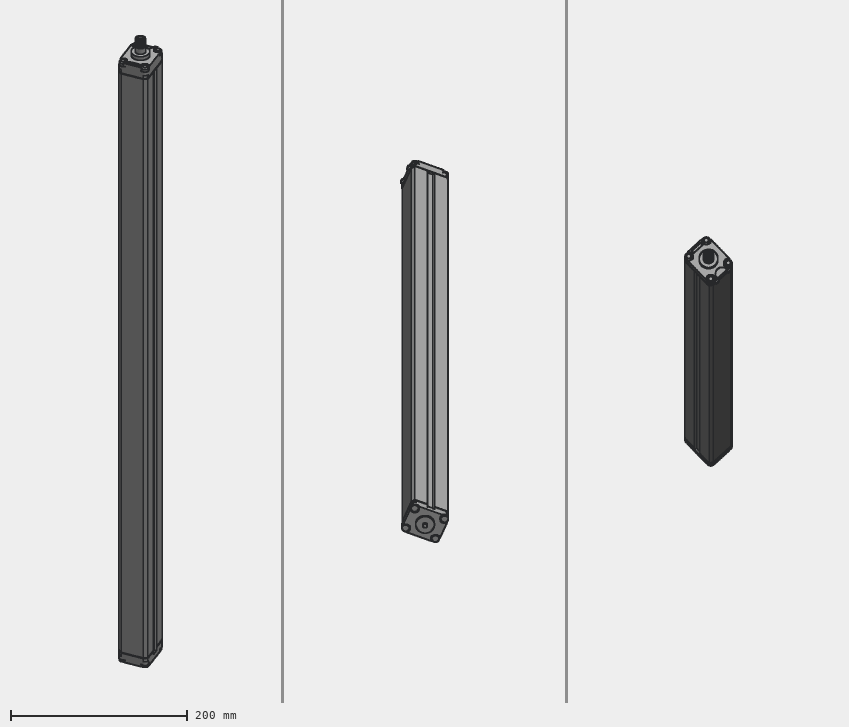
import cadquery as cq

total_height = 853.0
front_flat = 27.0
depth = 45.0
chamfer_x = 4.4
chamfer_y = 2.5
width = front_flat + 2 * chamfer_x

profile_bottom = 18.0
profile_top = 814.0
groove_mouth = 9.0
groove_floor = 6.0
groove_depth = 2.5

seam_inset = 0.2
seam_height = 1.0
cap_corner_radius = 4.0
plate_thickness = 5.0
lower_cap_thickness = 13.0
upper_cap_thickness = 15.0
lower_plate_bottom = profile_bottom - plate_thickness
lower_cap_bottom = profile_bottom - lower_cap_thickness
upper_plate_top = profile_top + plate_thickness
upper_cap_top = profile_top + upper_cap_thickness

head_diameter = 8.5
lower_head_height = 2.5
upper_head_height = 5.0
head_chamfer = 2.0
pocket_clearance = 1.0
pocket_diameter = head_diameter + 2 * pocket_clearance
head_setback = 0.2
screw_x = (width - head_diameter) / 2 - head_setback
screw_y = (depth - head_diameter) / 2 - head_setback
screw_centers = [(sx * screw_x, sy * screw_y) for sx in (-1, 1) for sy in (-1, 1)]

plug_diameter = 5.0
plug_height = 2.5
disc_diameter = 21.0

back_screw_diameter = 5.0
back_screw_spacing = 19.0
back_screw_projection = 2.5
back_screw_root = 2.5
back_screw_z = upper_plate_top + back_screw_diameter / 2
notch_radius = 8.0
notch_depth = 2.0

recess_length = 14.0
recess_width = 3.0
recess_depth = 1.0
recess_y = -19.0

collar_diameter = 21.0
collar_top = 835.0
stem_diameter = 12.0
thread_bottom = 842.5
thread_diameter = 12.0
thread_root_diameter = 11.0
thread_turns = 3
bore_diameter = 8.5
bore_depth = 7.0
pin_diameter = 2.0
pin_offset = 2.0
pin_height = 5.0


def chamfered_block(bottom, top, inset=0.0):
    """Upright block with flat corners, inset from the outer outline."""
    half_x = width / 2 - inset
    half_y = depth / 2 - inset
    flat_x = half_x - chamfer_x
    flat_y = half_y - chamfer_y
    return (
        cq.Workplane("XY")
        .workplane(offset=bottom)
        .polyline([
            (flat_x, -half_y),
            (half_x, -flat_y),
            (half_x, flat_y),
            (flat_x, half_y),
            (-flat_x, half_y),
            (-half_x, flat_y),
            (-half_x, -flat_y),
            (-flat_x, -half_y),
        ])
        .close()
        .extrude(top - bottom)
    )


def rounded_block(bottom, top):
    """Upright block with rounded corners for the outer part of an end cap."""
    return (
        cq.Workplane("XY")
        .workplane(offset=bottom)
        .rect(width, depth)
        .extrude(top - bottom)
        .edges("|Z")
        .fillet(cap_corner_radius)
    )


def cylinder(diameter, bottom, top, centers=((0, 0),)):
    """Upright cylinders standing on one level."""
    return (
        cq.Workplane("XY")
        .workplane(offset=bottom)
        .pushPoints(list(centers))
        .circle(diameter / 2)
        .extrude(top - bottom)
    )


def add_corner_screws(cap, heads, bottom, top):
    """Sink the four corner screw heads into their pockets."""
    cap = cap.cut(cylinder(pocket_diameter, bottom, top, screw_centers))
    return cap.union(heads)


def side_groove(side):
    """Tapered groove along one side, running on through the lower plate."""
    outer = side * width / 2
    inner = side * (width / 2 - groove_depth)
    return (
        cq.Workplane("XY")
        .workplane(offset=lower_plate_bottom)
        .polyline([
            (outer, -groove_mouth / 2),
            (inner, -groove_floor / 2),
            (inner, groove_floor / 2),
            (outer, groove_mouth / 2),
        ])
        .close()
        .extrude(profile_top - lower_plate_bottom)
    )


def make_lower_cap():
    seam_bottom = profile_bottom - seam_height
    cap = chamfered_block(lower_plate_bottom, seam_bottom)
    cap = cap.union(chamfered_block(seam_bottom, profile_bottom, seam_inset))
    cap = cap.union(rounded_block(lower_cap_bottom, lower_plate_bottom))
    head_top = lower_cap_bottom + lower_head_height
    heads = cylinder(head_diameter, lower_cap_bottom, head_top, screw_centers)
    cap = add_corner_screws(cap, heads, lower_cap_bottom, head_top)
    cap = cap.union(cylinder(disc_diameter, plug_height, lower_cap_bottom))
    return cap.union(cylinder(plug_diameter, 0, plug_height))


def back_screw(x):
    """Screw head standing out of the back of the upper cap."""
    back = depth / 2
    return (
        cq.Workplane("XZ", origin=(x, back + back_screw_projection, back_screw_z))
        .circle(back_screw_diameter / 2)
        .extrude(back_screw_projection + back_screw_root)
    )


def make_upper_cap():
    seam_top = profile_top + seam_height
    cap = chamfered_block(profile_top, seam_top, seam_inset)
    cap = cap.union(chamfered_block(seam_top, upper_plate_top))
    cap = cap.union(rounded_block(upper_plate_top, upper_cap_top))
    head_bottom = upper_cap_top - upper_head_height
    heads = cylinder(head_diameter, head_bottom, upper_cap_top, screw_centers)
    heads = heads.faces(">Z").chamfer(head_chamfer)
    cap = add_corner_screws(cap, heads, head_bottom, upper_cap_top)
    notch_center = [(0, depth / 2)]
    cap = cap.cut(
        cylinder(2 * notch_radius, upper_cap_top - notch_depth, upper_cap_top, notch_center)
    )
    recess = cq.Workplane("XY").box(recess_length, recess_width, 2 * recess_depth)
    cap = cap.cut(recess.translate((0, recess_y, upper_cap_top)))
    for side in (-1, 1):
        cap = cap.union(back_screw(side * back_screw_spacing / 2))
    return cap


def thread():
    """V-shaped ridges stacked up to the top of the connector."""
    pitch = (total_height - thread_bottom) / thread_turns
    root = thread_root_diameter / 2
    crest = thread_diameter / 2
    outline = [(0, thread_bottom), (root, thread_bottom)]
    for turn in range(thread_turns):
        ridge_bottom = thread_bottom + turn * pitch
        outline.append((crest, ridge_bottom + pitch / 2))
        outline.append((root, ridge_bottom + pitch))
    outline.append((0, total_height))
    return cq.Workplane("XZ").polyline(outline).close().revolve(360, (0, 0), (0, 1))


def make_connector():
    connector = cylinder(collar_diameter, upper_cap_top, collar_top)
    connector = connector.union(cylinder(stem_diameter, collar_top, thread_bottom))
    connector = connector.union(thread())
    bore_floor = total_height - bore_depth
    connector = connector.cut(cylinder(bore_diameter, bore_floor, total_height))
    pins = [(sx * pin_offset, sy * pin_offset) for sx in (-1, 1) for sy in (-1, 1)]
    return connector.union(cylinder(pin_diameter, bore_floor, bore_floor + pin_height, pins))


result = chamfered_block(profile_bottom, profile_top).union(make_lower_cap())
for side in (-1, 1):
    result = result.cut(side_groove(side))
result = result.union(make_upper_cap()).union(make_connector())